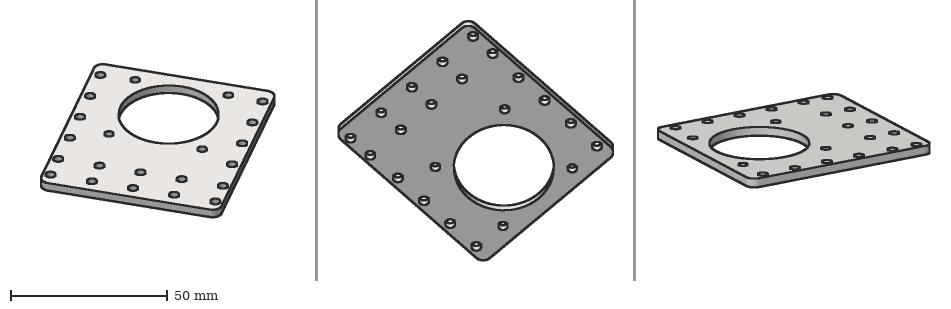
import cadquery as cq

width = 60.0
length = 68.15
thickness = 3.0
corner_radius = 3.0

motor_y = 12.9
motor_opening_diameter = 32.0
motor_screw_spacing = 31.0
motor_screw_diameter = 3.0

mount_hole_diameter = 3.2
edge_column_spacing = 54.0
edge_hole_count = 4
edge_hole_pitch = 12.0
edge_column_center_y = 9.95

grid_columns = 5
grid_rows = 2
grid_pitch_x = 13.7
grid_pitch_y = 9.0
grid_center_y = -24.8


def cut_hole_grid(body, center_y, counts, pitches, diameter):
    """Cut a rectangular array of through holes centred on X = 0."""
    return (
        body.faces(">Z")
        .workplane(origin=(0, center_y, thickness))
        .rarray(*pitches, *counts)
        .hole(diameter)
    )


plate = (
    cq.Workplane("XY")
    .box(width, length, thickness, centered=(True, True, False))
    .edges("|Z")
    .fillet(corner_radius)
)

plate = (
    plate.faces(">Z")
    .workplane(origin=(0, motor_y, thickness))
    .hole(motor_opening_diameter)
)

plate = cut_hole_grid(
    plate, motor_y, (2, 2), (motor_screw_spacing, motor_screw_spacing), motor_screw_diameter
)
plate = cut_hole_grid(
    plate,
    edge_column_center_y,
    (2, edge_hole_count),
    (edge_column_spacing, edge_hole_pitch),
    mount_hole_diameter,
)
plate = cut_hole_grid(
    plate, grid_center_y, (grid_columns, grid_rows), (grid_pitch_x, grid_pitch_y), mount_hole_diameter
)

result = plate